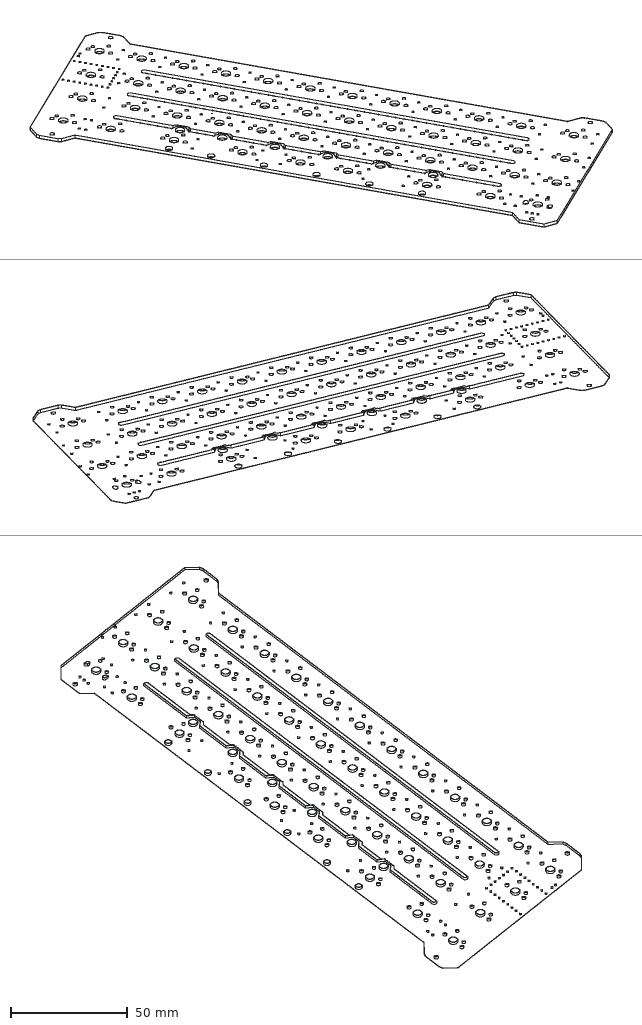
import cadquery as cq

KEY_UNIT = 19.0
LENGTH = 12.5 * KEY_UNIT
BODY_WIDTH = 4 * KEY_UNIT
THICKNESS = 1.6
LEFT_EDGE = -LENGTH / 2

FOOT_HEIGHT = 4.5
FOOT_CAP_HEIGHT = 0.5
FOOT_CAP_WIDTH = 8.3
FOOT_LENGTH = 20.2
FOOT_TIP_WIDTH = FOOT_LENGTH - 2 * FOOT_HEIGHT
FOOT_X = LEFT_EDGE + FOOT_LENGTH / 2
FOOT_BASE_Y = BODY_WIDTH / 2
FOOT_TIP_Y = FOOT_BASE_Y + FOOT_HEIGHT
FOOT_HOLE_DIAMETER = 2.0
FOOT_HOLE_X = 108.3
FOOT_HOLE_Y = 40.2

SLOT_LENGTH = 175.0
SLOT_WIDTH = 2.5
UPPER_SLOT_SHIFT = 0.12
SLOT_ROWS = [KEY_UNIT + UPPER_SLOT_SHIFT, 0, -KEY_UNIT]

GRID = KEY_UNIT / 15
SWITCH_DIAMETER = 4.0
SIDE_PIN_DIAMETER = 1.75
SIDE_PIN_OFFSET = 4 * GRID
CONTACT_DIAMETER = 1.48
CONTACTS = [(-3 * GRID, 2 * GRID), (2 * GRID, 4 * GRID)]

ROW_1_Y = 1.5 * KEY_UNIT
ROW_2_Y = 0.5 * KEY_UNIT
ROW_3_Y = -ROW_2_Y
ROW_4_Y = -ROW_1_Y
KEY_ROWS = [
    (ROW_1_Y, [0.5 + i for i in range(11)] + [11.75]),
    (ROW_2_Y, [0.625] + [1.75 + i for i in range(10)] + [11.875]),
    (ROW_3_Y, [0.75] + [2 + i for i in range(11)]),
    (ROW_4_Y, [0.625, 1.75, 3.25, 4.875, 6.25, 7.375, 9.25, 10.75, 11.875]),
]

DIODE_DIAMETER = 1.0
DIODE_SPAN = 7.9
DIODE_OFFSET = KEY_UNIT / 2
SHIFTED_DIODE_X = -93.8
SHIFTED_DIODE_Y = 11.0
LAST_DIODE_X = 118.0
ROW_4_DIODES = [-98.5, -95.7, -47.6, -18.3, -7.9, 29.5, 47.6, 93.5, 98.3]

STABILIZER_UNITS = [3.25, 4.25, 5.5, 6.75, 8.0, 9.25]
STABILIZER_LARGE_DIAMETER = 4.0
STABILIZER_SMALL_DIAMETER = 3.0
STABILIZER_LARGE_RISE = 8.3
STABILIZER_SMALL_DROP = 7.0
STABILIZER_LARGE_Y = ROW_4_Y + STABILIZER_LARGE_RISE
STABILIZER_SMALL_Y = ROW_4_Y - STABILIZER_SMALL_DROP
RELIEF_BASE_WIDTH = 7.9
RELIEF_TOP_WIDTH = 5.7
RELIEF_ABOVE_SLOT = 1.07
PAD_ABOVE_SLOT = 0.35
PAD_TOP_WIDTH = 3.5
PAD_BASE_WIDTH = 7.9

HEADER_PITCH = 2 * GRID
HEADER_DIAMETER = 0.8
HEADER_PINS = 9
HEADER_END_PINS = 5
HEADER_ROW_SPACING = 15.7
HEADER_FIRST_X = -117.5
HEADER_Y = 10.0

BATTERY_X = -117.0
BATTERY_Y = 23.0
BATTERY_PITCH = 2.1
BATTERY_DIAMETER = 1.0

ENCODER_UNIT = KEY_ROWS[-1][1][-1]
ENCODER_PIN_DIAMETER = 1.0
ENCODER_PIN_SPAN = 5.0
ENCODER_PIN_PITCH = ENCODER_PIN_SPAN / 2
ENCODER_PIN_DROP = 7.5
ENCODER_SWITCH_RISE = 7.0
ENCODER_TAB_OFFSET = 5.5
ENCODER_TAB_WIDTH = 2.0
ENCODER_TAB_HEIGHT = 2.9


def key_x(units):
    return LEFT_EDGE + units * KEY_UNIT


def drill(board, points, diameter):
    cutter = cq.Workplane("XY").pushPoints(points).circle(diameter / 2).extrude(THICKNESS)
    return board.cut(cutter)


def trapezoid(x, base_y, top_y, base_width, top_width):
    return (
        cq.Workplane("XY")
        .polyline([
            (x - base_width / 2, base_y),
            (x - top_width / 2, top_y),
            (x + top_width / 2, top_y),
            (x + base_width / 2, base_y),
        ])
        .close()
        .extrude(THICKNESS)
    )


def plain_foot():
    return trapezoid(FOOT_X, FOOT_BASE_Y, FOOT_TIP_Y, FOOT_LENGTH, FOOT_TIP_WIDTH)


def capped_foot():
    cap = trapezoid(FOOT_X, FOOT_TIP_Y, FOOT_TIP_Y + FOOT_CAP_HEIGHT, FOOT_TIP_WIDTH, FOOT_CAP_WIDTH)
    return plain_foot().union(cap)


def plate():
    board = cq.Workplane("XY").box(LENGTH, BODY_WIDTH, THICKNESS, centered=(True, True, False))
    capped = capped_foot()
    return (
        board.union(capped)
        .union(capped.mirror("YZ"))
        .union(capped.mirror("XZ"))
        .union(plain_foot().mirror("YZ").mirror("XZ"))
    )


def slots(board):
    centres = [(0, y) for y in SLOT_ROWS]
    return board.cut(
        cq.Workplane("XY").pushPoints(centres).slot2D(SLOT_LENGTH, SLOT_WIDTH).extrude(THICKNESS)
    )


def stabilizers(board):
    slot_bottom = SLOT_ROWS[-1] - SLOT_WIDTH / 2
    slot_top = SLOT_ROWS[-1] + SLOT_WIDTH / 2
    for units in STABILIZER_UNITS:
        x = key_x(units)
        relief = trapezoid(x, slot_top, slot_top + RELIEF_ABOVE_SLOT, RELIEF_BASE_WIDTH, RELIEF_TOP_WIDTH)
        pad = trapezoid(x, slot_bottom, slot_top + PAD_ABOVE_SLOT, PAD_BASE_WIDTH, PAD_TOP_WIDTH)
        board = board.cut(relief).union(pad)
    xs = [key_x(units) for units in STABILIZER_UNITS]
    board = drill(board, [(x, STABILIZER_LARGE_Y) for x in xs], STABILIZER_LARGE_DIAMETER)
    return drill(board, [(x, STABILIZER_SMALL_Y) for x in xs], STABILIZER_SMALL_DIAMETER)


def switches(board):
    centres = [(key_x(units), y) for y, row in KEY_ROWS for units in row]
    side_pins = [(x + side * SIDE_PIN_OFFSET, y) for x, y in centres for side in (-1, 1)]
    contacts = [(x + dx, y + dy) for x, y in centres for dx, dy in CONTACTS]
    board = drill(board, centres, SWITCH_DIAMETER)
    board = drill(board, side_pins, SIDE_PIN_DIAMETER)
    return drill(board, contacts, CONTACT_DIAMETER)


def diodes(board):
    row_1, row_2, row_3 = (
        [(key_x(units) + DIODE_OFFSET, y) for units in row] for y, row in KEY_ROWS[:3]
    )
    row_2[0] = (SHIFTED_DIODE_X, SHIFTED_DIODE_Y)
    row_3[0] = (SHIFTED_DIODE_X, ROW_3_Y)
    row_3[-1] = (LAST_DIODE_X, ROW_3_Y)
    row_4 = [(x, ROW_4_Y) for x in ROW_4_DIODES]
    centres = row_1 + row_2 + row_3 + row_4
    leads = [(x, y + side * DIODE_SPAN / 2) for x, y in centres for side in (-1, 1)]
    return drill(board, leads, DIODE_DIAMETER)


def controller(board):
    end_x = HEADER_FIRST_X + (HEADER_PINS - 1) * HEADER_PITCH
    end_y = HEADER_Y - (HEADER_END_PINS - 1) / 2 * HEADER_PITCH
    pins = [(end_x, end_y + i * HEADER_PITCH) for i in range(HEADER_END_PINS)]
    for side in (-1, 1):
        row_y = HEADER_Y + side * HEADER_ROW_SPACING / 2
        pins += [(HEADER_FIRST_X + i * HEADER_PITCH, row_y) for i in range(HEADER_PINS)]
    return drill(board, pins, HEADER_DIAMETER)


def battery(board):
    pins = [(BATTERY_X, BATTERY_Y + side * BATTERY_PITCH / 2) for side in (-1, 1)]
    return drill(board, pins, BATTERY_DIAMETER)


def encoder(board):
    x = key_x(ENCODER_UNIT)
    pins = [(x + i * ENCODER_PIN_PITCH, ROW_4_Y - ENCODER_PIN_DROP) for i in (-1, 0, 1)]
    pins += [(x + i * ENCODER_PIN_PITCH, ROW_4_Y + ENCODER_SWITCH_RISE) for i in (-1, 1)]
    board = drill(board, pins, ENCODER_PIN_DIAMETER)
    tabs = [(x + side * ENCODER_TAB_OFFSET, ROW_4_Y) for side in (-1, 1)]
    return board.cut(
        cq.Workplane("XY").pushPoints(tabs)
        .slot2D(ENCODER_TAB_HEIGHT, ENCODER_TAB_WIDTH, 90).extrude(THICKNESS)
    )


def foot_holes(board):
    points = [(sx * FOOT_HOLE_X, sy * FOOT_HOLE_Y) for sx in (-1, 1) for sy in (-1, 1)]
    return drill(board, points, FOOT_HOLE_DIAMETER)


result = plate()
for feature in (slots, stabilizers, switches, diodes, controller, battery, encoder, foot_holes):
    result = feature(result)